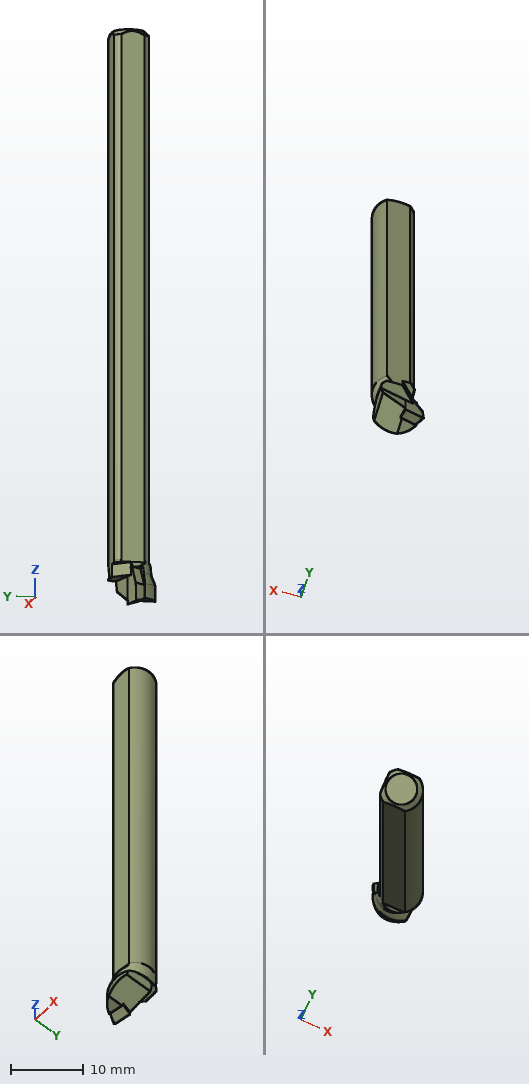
import cadquery as cq
import math

TOTAL_LENGTH = 81.1
TOTAL_WIDTH = 7.4
SHANK_RADIUS = 3.0
FLAT_DISTANCE = 2.5
END_CHAMFER = 0.8
FLAT_END = 5.8
FLAT_RUN_OUT_ANGLE = 45.0

NECK_RADIUS = 3.0
NECK_TOP = 6.1
NECK_BOTTOM = 4.2
NECK_SHIFT = 0.65

HEAD_RADIUS = 4.0
HEAD_X = -0.2
HEAD_Y = 0.3
HEAD_SHOULDER = 3.0
HEAD_BOTTOM = 0.6
SHOULDER_SLOPE = 7.0

SIDE_TOP_X = 2.3
HEEL_X = 1.9
HEEL_Z = 2.4
HEEL_END_X = -1.55

RAKE_ANGLE = 11.0
RAKE_TOP = 4.0
GULLET_ANGLE = 45.0
GULLET_X = -2.75
GULLET_TOP = 5.75

INSERT_THICKNESS = 1.55
INSERT_INNER = 2.8
INSERT_TOP = 5.0
RELIEF_ANGLE = 18.0
TIP_X = SHANK_RADIUS - TOTAL_WIDTH
NOSE = 0.2
EDGE_CORNER_Z = 2.6
EDGE_LEAN = 0.2
LEAD_RUN = 1.2

SPAN = 24.3


def rake_plane():
    """Plane through the tip: local x runs inwards, local y runs up, the normal points into the tool."""
    angle = math.radians(RAKE_ANGLE)
    inwards = cq.Vector(math.cos(angle), math.sin(angle), 0)
    into_tool = cq.Vector(math.sin(angle), -math.cos(angle), 0)
    return cq.Plane(origin=(TIP_X, 0, 0), xDir=inwards.toTuple(), normal=into_tool.toTuple())


def make_shank():
    height = TOTAL_LENGTH - NECK_TOP
    bar = cq.Workplane("XY", origin=(0, 0, NECK_TOP)).circle(SHANK_RADIUS).extrude(height)
    return bar.faces(">Z").chamfer(END_CHAMFER)


def flats_envelope():
    """Square prism, open on +X, that spreads outwards below the end of the flats."""
    flat_end = cq.Workplane("XY", origin=(SPAN / 2 - FLAT_DISTANCE, 0, FLAT_END))
    prism = flat_end.rect(SPAN, 2 * FLAT_DISTANCE).extrude(TOTAL_LENGTH - FLAT_END)
    run_out = flat_end.rect(SPAN, 2 * FLAT_DISTANCE).extrude(-FLAT_END, taper=-FLAT_RUN_OUT_ANGLE)
    return prism.union(run_out)


def make_neck():
    return (
        cq.Workplane("XY", origin=(0, 0, NECK_TOP))
        .circle(NECK_RADIUS)
        .workplane(offset=NECK_BOTTOM - NECK_TOP)
        .center(-NECK_SHIFT, 0)
        .circle(NECK_RADIUS)
        .loft(ruled=True)
    )


def make_head():
    """Flare and drum under a tilted shoulder, trimmed by the heel and side clearances."""
    slope = math.radians(SHOULDER_SLOPE)
    shoulder = cq.Plane(
        origin=(HEAD_X, HEAD_Y, HEAD_SHOULDER),
        xDir=(math.cos(slope), 0, math.sin(slope)),
        normal=(-math.sin(slope), 0, math.cos(slope)),
    )
    shoulder_wire = cq.Workplane(shoulder).ellipse(HEAD_RADIUS / math.cos(slope), HEAD_RADIUS).wire().val()
    neck_wire = cq.Workplane("XY", origin=(-NECK_SHIFT, 0, NECK_BOTTOM)).circle(NECK_RADIUS).wire().val()
    flare = cq.Workplane(cq.Solid.makeLoft([shoulder_wire, neck_wire], True))
    drum = (
        cq.Workplane("XY", origin=(HEAD_X, HEAD_Y, HEAD_BOTTOM))
        .circle(HEAD_RADIUS)
        .extrude(NECK_BOTTOM - HEAD_BOTTOM)
    )
    above_shoulder = cq.Workplane(shoulder).rect(SPAN, SPAN).extrude(SPAN)
    head = drum.cut(above_shoulder).union(flare)
    profile = (
        cq.Workplane("XZ", origin=(0, SPAN / 2, 0))
        .moveTo(-SPAN, HEAD_BOTTOM)
        .lineTo(HEEL_END_X, HEAD_BOTTOM)
        .lineTo(HEEL_X, HEEL_Z)
        .lineTo(SIDE_TOP_X, NECK_BOTTOM)
        .lineTo(-SPAN, NECK_BOTTOM)
        .close()
        .extrude(SPAN)
    )
    return head.intersect(profile)


def back_clearance():
    """Space behind the +Y flat, so that the flat runs on down past the neck."""
    return cq.Workplane("XY", origin=(0, FLAT_DISTANCE + SPAN / 2, 0)).rect(SPAN, SPAN).extrude(NECK_TOP)


def rake_cut():
    """Space in front of the rake plane, up to the rake step."""
    return cq.Workplane(rake_plane()).rect(2 * SPAN, 2 * RAKE_TOP).extrude(-SPAN)


def gullet_cut():
    """Space above the rake cut: along the rake plane first, then a wall that turns towards +Y."""
    rake_slope = math.tan(math.radians(RAKE_ANGLE))
    wall_slope = math.tan(math.radians(GULLET_ANGLE))
    gullet_y = (GULLET_X - TIP_X) * rake_slope
    return (
        cq.Workplane("XY")
        .moveTo(TIP_X - SPAN, -SPAN * rake_slope)
        .lineTo(GULLET_X, gullet_y)
        .lineTo(GULLET_X + SPAN, gullet_y + SPAN * wall_slope)
        .lineTo(TIP_X - SPAN, gullet_y + SPAN * wall_slope)
        .close()
        .extrude(GULLET_TOP)
    )


def insert_pocket():
    """Slab behind the rake plane that holds the insert, open outwards and below."""
    return (
        cq.Workplane(rake_plane())
        .moveTo(INSERT_INNER - SPAN, INSERT_TOP - SPAN)
        .rect(SPAN, SPAN, centered=False)
        .extrude(INSERT_THICKNESS)
    )


def make_insert():
    lead_slope = LEAD_RUN / (INSERT_TOP - EDGE_CORNER_Z)
    blank = (
        cq.Workplane(rake_plane())
        .moveTo(NOSE, 0)
        .lineTo(SPAN, 0)
        .lineTo(SPAN, SPAN)
        .lineTo(EDGE_LEAN + lead_slope * (SPAN - EDGE_CORNER_Z), SPAN)
        .lineTo(EDGE_LEAN, EDGE_CORNER_Z)
        .lineTo(0, NOSE)
        .close()
        .extrude(INSERT_THICKNESS, taper=RELIEF_ANGLE)
    )
    return blank.intersect(insert_pocket())


def make_holder():
    flatted_bar = make_shank().union(make_neck()).intersect(flats_envelope())
    body = flatted_bar.union(make_head())
    return body.cut(back_clearance()).cut(rake_cut()).cut(gullet_cut()).cut(insert_pocket())


holder = make_holder()
insert = make_insert()

result = cq.Compound.makeCompound([holder.solids().val(), insert.solids().val()])